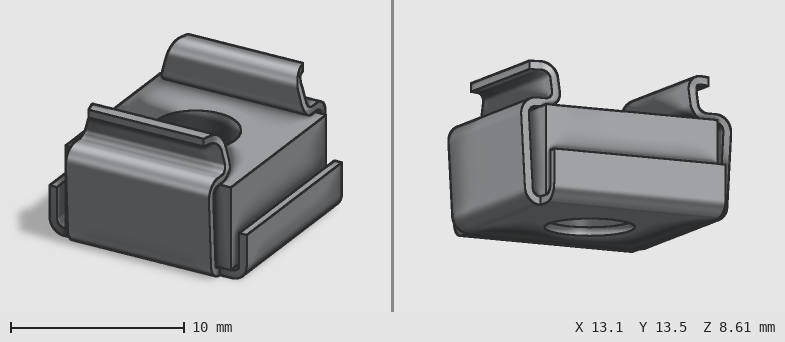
import cadquery as cq
import math

thickness = 0.5
bend_radius_inner = 0.5
bend_radius = bend_radius_inner + thickness
hole_diameter = 5.2

block_side = 11.0
block_height = 5.3
block_top = thickness + block_height

cage_length_x = 13.1
cage_length_y = 13.48
cage_height = 8.61
flange_height = 3.0
base_half_x = cage_length_x / 2 - bend_radius
base_half_y = block_side / 2
arm_width = 9.5
flat_length = 0.55

shoulder_y = cage_length_y / 2 - bend_radius
neck_y = shoulder_y - flat_length
base_bend = (base_half_y, bend_radius)
shoulder_bend = (shoulder_y, block_top + thickness - bend_radius)
neck_bend = (neck_y, block_top + bend_radius)
lip_bend = (neck_y, cage_height - bend_radius)

lean = math.degrees(math.atan2(shoulder_y - base_half_y, shoulder_bend[1] - base_bend[1]))

taper_slope = math.tan(math.radians(15))
taper_start_z = block_top + thickness
neck_half_width = arm_width / 2 - taper_slope * (lip_bend[1] - taper_start_z)
helix_drop = taper_slope * bend_radius * math.pi / 2
lip_half_width = neck_half_width - helix_drop
lip_end_half_width = lip_half_width - taper_slope * flat_length


def on_circle(center, radius, degrees):
    angle = math.radians(degrees)
    return (center[0] + radius * math.cos(angle), center[1] + radius * math.sin(angle))


def add_bend(outline, center, radius, start, end):
    """Draw an arc about center from one angle to another, after a line to its start."""
    return outline.lineTo(*on_circle(center, radius, start)).threePointArc(
        on_circle(center, radius, (start + end) / 2), on_circle(center, radius, end)
    )


def make_nut_block():
    block = cq.Workplane("XY").box(block_side, block_side, block_height, centered=(True, True, False))
    return block.faces(">Z").workplane().hole(hole_diameter).translate((0, 0, thickness))


def make_base():
    base = cq.Workplane("XY").box(
        2 * base_half_x, 2 * base_half_y, thickness, centered=(True, True, False)
    )
    return base.faces(">Z").workplane().hole(hole_diameter)


def make_flange():
    """Upright flange on the +X side."""
    center = (base_half_x, bend_radius)
    outline = cq.Workplane("XZ").moveTo(base_half_x, thickness)
    outline = add_bend(outline, center, bend_radius, -90, 0)
    outline = outline.lineTo(cage_length_x / 2, flange_height)
    outline = outline.lineTo(cage_length_x / 2 - thickness, flange_height)
    outline = add_bend(outline, center, bend_radius_inner, 0, -90)
    return outline.close().extrude(block_side / 2, both=True)


def make_arm_strip():
    """Bent strip of constant width on the +Y side."""
    outline = cq.Workplane("YZ").moveTo(base_half_y, thickness)
    outline = add_bend(outline, base_bend, bend_radius, -90, -lean)
    outline = add_bend(outline, shoulder_bend, bend_radius, -lean, 90)
    outline = add_bend(outline, neck_bend, bend_radius_inner, 270, 180)
    outline = add_bend(outline, lip_bend, bend_radius_inner, 180, 90)
    outline = outline.lineTo(shoulder_y, cage_height - thickness)
    outline = outline.lineTo(shoulder_y, cage_height)
    outline = add_bend(outline, lip_bend, bend_radius, 90, 180)
    outline = add_bend(outline, neck_bend, bend_radius, 180, 270)
    outline = add_bend(outline, shoulder_bend, bend_radius_inner, 90, -lean)
    outline = add_bend(outline, base_bend, bend_radius_inner, -lean, -90)
    return outline.close().extrude(arm_width / 2, both=True)


def make_neck_cutter():
    """Tapered waste beside the neck on the +X edge, and the waste straight above it."""
    corners = [
        (arm_width / 2, taper_start_z),
        (neck_half_width, lip_bend[1]),
        (neck_half_width, cage_height),
        (arm_width / 2, cage_height),
    ]
    return cq.Workplane("XZ").polyline(corners).close().extrude(-cage_length_y / 2)


def make_lip_bend_cutter():
    """Helical waste on the +X edge of the lip bend, inside the bend's own quadrant."""
    reach = 2 * bend_radius
    center = (0, 0)
    sector = (
        cq.Workplane("YZ")
        .lineTo(0, reach)
        .threePointArc(on_circle(center, reach, 45), (reach, 0))
        .close()
        .twistExtrude(helix_drop, 90)
    )
    quadrant = cq.Workplane("XY").box(
        helix_drop, reach, reach, centered=(False, False, False)
    ).translate((0, -reach, 0))
    return sector.intersect(quadrant).translate((lip_half_width, *lip_bend))


def make_lip_cutter():
    """Tapered waste beside the flat lip on the +X edge."""
    corners = [
        (lip_half_width, neck_y),
        (lip_end_half_width, shoulder_y),
        (arm_width / 2, shoulder_y),
        (arm_width / 2, neck_y),
    ]
    cutter = cq.Workplane("XY").workplane(offset=lip_bend[1]).polyline(corners).close()
    return cutter.extrude(bend_radius)


def make_arm():
    arm = make_arm_strip()
    for cutter in (make_neck_cutter(), make_lip_bend_cutter(), make_lip_cutter()):
        arm = arm.cut(cutter).cut(cutter.mirror("YZ"))
    return arm


def make_cage():
    flange = make_flange()
    arm = make_arm()
    cage = make_base()
    for part in (flange, flange.mirror("YZ"), arm, arm.mirror("XZ")):
        cage = cage.union(part)
    return cage


nut_block = make_nut_block()
cage = make_cage()
result = cq.Compound.makeCompound([nut_block.val(), *cage.solids().vals()])